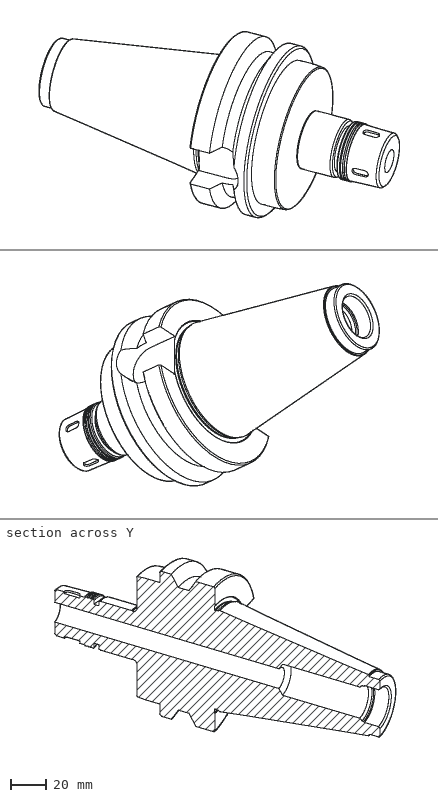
import cadquery as cq
import math

LENGTH = 206.8

PILOT_DIA = 40.0
PILOT_LENGTH = 7.0
PILOT_CHAMFER = 0.8
TAPER_EDGE_CHAMFER = 0.5
TAPER_RATE = 7 / 24
GAUGE_X = 101.7
GAUGE_DIA = 70.0
RELIEF_DIA = 68.9
RELIEF_CONE_LENGTH = 1.2

FLANGE_X = 104.8
FLANGE_END_X = 140.2
FLANGE_DIA = 100.0
FLANGE_FACE_CHAMFER = 0.8
FLANGE_END_CHAMFER = 1.2
GROOVE_DIA = 84.8
GROOVE_X = 125.0
GROOVE_FLOOR_WIDTH = 6.6
GROOVE_FLANK_ANGLE = 60

UNDERCUT_DIA = 74.0
UNDERCUT_DEPTH = 0.5
UNDERCUT_X = 104.2

SLOT_WIDTH = 25.6
SLOT_END_X = 135.5
SLOT_FLOOR_Y = 35.2

COLLAR_DIA = 84.0
COLLAR_TAPER_X = 149.5
COLLAR_END_X = 154.7
COLLAR_END_DIA = 83.1
COLLAR_CHAMFER = 0.6

NECK_DIA = 34.0
NECK_ROOT_DIA = 33.5
NECK_ROOT_FILLET = 2.5
NECK_STEP_X = 157.8
NECK_END_X = 178.9
NECK_CHAMFER_LENGTH = 1.2
NECK_CHAMFER_DEPTH = 0.6
THROAT_DIA = 27.0

NUT_X = 181.5
NUT_RING_DIA = 34.0
NUT_GROOVE_DIA = 33.5
NUT_CHAMFER = 0.6
NUT_GROOVES = ((183.5, 0.6), (185.3, 1.0))
NUT_BODY_X = 187.5
NUT_BODY_DIA = 33.0
NUT_END_DIA = 32.0
NUT_END_CHAMFER = 1.2
WRENCH_SLOT_COUNT = 4
WRENCH_SLOT_X = 195.8
WRENCH_SLOT_LENGTH = 9.7
WRENCH_SLOT_WIDTH = 4.3
WRENCH_SLOT_FLOOR = 14.9

MOUTH_DIA = 27.0
MOUTH_CHAMFER = 1.0
COUNTERBORE_DIA = 25.0
COUNTERBORE_DEPTH = 10.0
GUIDE_DIA = 24.0
GUIDE_LENGTH = 1.0
THREAD_DIA = 21.0
THREAD_END_X = 62.0
BORE_DIA = 13.2
THREAD_CONE_ANGLE = 60


def revolve(profile):
    """Solid of revolution about X from (x, diameter) corners."""
    points = [(x, dia / 2) for x, dia in profile]
    outline = [(points[0][0], 0)] + points + [(points[-1][0], 0)]
    return cq.Workplane("XY").polyline(outline).close().revolve(360, (0, 0, 0), (1, 0, 0))


def make_shank():
    taper_start_x = PILOT_LENGTH + TAPER_EDGE_CHAMFER
    taper_start_dia = GAUGE_DIA - (GAUGE_X - taper_start_x) * TAPER_RATE
    return revolve([
        (0, PILOT_DIA - 2 * PILOT_CHAMFER),
        (PILOT_CHAMFER, PILOT_DIA),
        (PILOT_LENGTH, PILOT_DIA),
        (PILOT_LENGTH, taper_start_dia - 2 * TAPER_EDGE_CHAMFER),
        (taper_start_x, taper_start_dia),
        (GAUGE_X, GAUGE_DIA),
        (GAUGE_X + RELIEF_CONE_LENGTH, RELIEF_DIA),
        (FLANGE_END_X, RELIEF_DIA),
    ])


def make_flange():
    flank_length = (FLANGE_DIA - GROOVE_DIA) / 2 / math.tan(math.radians(GROOVE_FLANK_ANGLE))
    floor_start = GROOVE_X - GROOVE_FLOOR_WIDTH / 2
    floor_end = GROOVE_X + GROOVE_FLOOR_WIDTH / 2
    return revolve([
        (FLANGE_X, FLANGE_DIA - 2 * FLANGE_FACE_CHAMFER),
        (FLANGE_X + FLANGE_FACE_CHAMFER, FLANGE_DIA),
        (floor_start - flank_length, FLANGE_DIA),
        (floor_start, GROOVE_DIA),
        (floor_end, GROOVE_DIA),
        (floor_end + flank_length, FLANGE_DIA),
        (FLANGE_END_X - FLANGE_END_CHAMFER, FLANGE_DIA),
        (FLANGE_END_X, FLANGE_DIA - 2 * FLANGE_END_CHAMFER),
    ])


def make_undercut():
    """Shallow ring cut into both the relief cylinder and the flange face."""
    floor_dia = RELIEF_DIA - 2 * UNDERCUT_DEPTH
    ring = revolve([
        (UNDERCUT_X, RELIEF_DIA),
        (FLANGE_X, UNDERCUT_DIA),
        (FLANGE_X + UNDERCUT_DEPTH, UNDERCUT_DIA - 2 * UNDERCUT_DEPTH),
    ])
    core = revolve([
        (UNDERCUT_X, RELIEF_DIA),
        (UNDERCUT_X + UNDERCUT_DEPTH, floor_dia),
        (FLANGE_X + UNDERCUT_DEPTH, floor_dia),
    ])
    return ring.cut(core)


def make_drive_slots():
    """Round-ended slots open toward the taper, one on each Y side."""
    radius = SLOT_WIDTH / 2
    end_center = SLOT_END_X - radius
    start = GAUGE_X
    outline = (
        cq.Workplane("XZ")
        .moveTo(start, -radius)
        .lineTo(end_center, -radius)
        .threePointArc((SLOT_END_X, 0), (end_center, radius))
        .lineTo(start, radius)
        .close()
    )
    front = outline.extrude(FLANGE_DIA).translate((0, -SLOT_FLOOR_Y, 0))
    return front.union(front.mirror("XZ"))


def make_collar():
    return revolve([
        (FLANGE_END_X - FLANGE_END_CHAMFER, COLLAR_DIA),
        (COLLAR_TAPER_X, COLLAR_DIA),
        (COLLAR_END_X - COLLAR_CHAMFER, COLLAR_END_DIA),
        (COLLAR_END_X, COLLAR_END_DIA - 2 * COLLAR_CHAMFER),
    ])


def make_neck():
    fillet_end = COLLAR_END_X + NECK_ROOT_FILLET
    root_radius = NECK_ROOT_DIA / 2
    root = (
        cq.Workplane("XY")
        .moveTo(COLLAR_END_X, 0)
        .lineTo(COLLAR_END_X, root_radius + NECK_ROOT_FILLET)
        .radiusArc((fillet_end, root_radius), -NECK_ROOT_FILLET)
        .lineTo(fillet_end, 0)
        .close()
        .revolve(360, (0, 0, 0), (1, 0, 0))
    )
    shaft = revolve([
        (FLANGE_END_X, NECK_ROOT_DIA),
        (fillet_end, NECK_ROOT_DIA),
        (NECK_STEP_X, NECK_DIA),
        (NECK_END_X - NECK_CHAMFER_LENGTH, NECK_DIA),
        (NECK_END_X, NECK_DIA - 2 * NECK_CHAMFER_DEPTH),
        (NECK_END_X, THROAT_DIA),
        (NUT_BODY_X, THROAT_DIA),
    ])
    return shaft.union(root)


def make_nut():
    nut = revolve([
        (NUT_X, NUT_RING_DIA - 2 * NUT_CHAMFER),
        (NUT_X + NUT_CHAMFER, NUT_RING_DIA),
        (NUT_BODY_X, NUT_RING_DIA),
        (NUT_BODY_X, NUT_BODY_DIA),
        (LENGTH - NUT_END_CHAMFER, NUT_END_DIA),
        (LENGTH, NUT_END_DIA - 2 * NUT_END_CHAMFER),
    ])
    for groove_x, groove_width in NUT_GROOVES:
        ring = cq.Workplane("YZ").circle(NUT_RING_DIA).circle(NUT_GROOVE_DIA / 2).extrude(groove_width)
        nut = nut.cut(ring.translate((groove_x, 0, 0)))
    wrench_slot = (
        cq.Workplane("XY", origin=(WRENCH_SLOT_X, 0, WRENCH_SLOT_FLOOR))
        .slot2D(WRENCH_SLOT_LENGTH, WRENCH_SLOT_WIDTH)
        .extrude(NUT_RING_DIA)
    )
    for index in range(WRENCH_SLOT_COUNT):
        nut = nut.cut(wrench_slot.rotate((0, 0, 0), (1, 0, 0), index * 360 / WRENCH_SLOT_COUNT))
    return nut


def make_bore():
    thread_cone = (THREAD_DIA - BORE_DIA) / 2 / math.tan(math.radians(THREAD_CONE_ANGLE))
    guide_x = COUNTERBORE_DEPTH + (COUNTERBORE_DIA - GUIDE_DIA) / 2
    thread_x = guide_x + GUIDE_LENGTH + (GUIDE_DIA - THREAD_DIA) / 2
    return revolve([
        (0, MOUTH_DIA),
        (MOUTH_CHAMFER, COUNTERBORE_DIA),
        (COUNTERBORE_DEPTH, COUNTERBORE_DIA),
        (guide_x, GUIDE_DIA),
        (guide_x + GUIDE_LENGTH, GUIDE_DIA),
        (thread_x, THREAD_DIA),
        (THREAD_END_X, THREAD_DIA),
        (THREAD_END_X + thread_cone, BORE_DIA),
        (LENGTH, BORE_DIA),
    ])


body = make_flange().union(make_shank()).union(make_collar())
body = body.cut(make_undercut()).cut(make_drive_slots())
body = body.union(make_neck()).union(make_nut())
result = body.cut(make_bore())